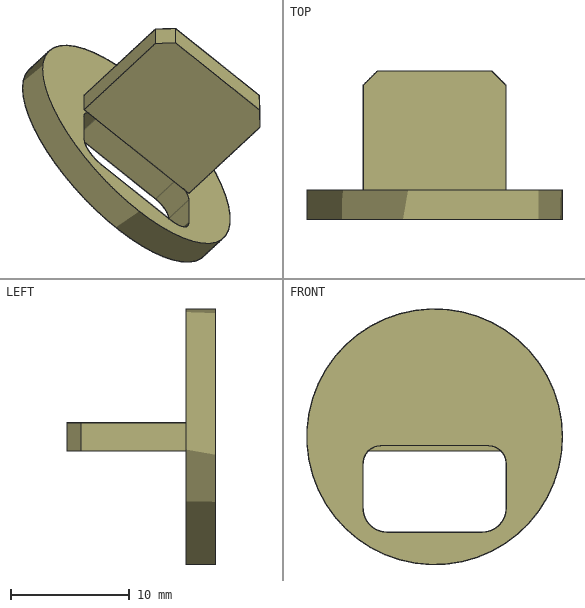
import cadquery as cq

disc_diameter = 21.5
disc_thickness = 2.5

tab_width = 12.0
tab_thickness = 2.4
tab_length = 10.0
tab_chamfer = 1.2

window_width = tab_width
window_top = -0.75
window_bottom = -8.0
window_top_radius = 1.5
window_bottom_radius = 2.0


def make_disc():
    return (
        cq.Workplane("XZ")
        .circle(disc_diameter / 2)
        .extrude(-disc_thickness)
    )


def make_tab():
    """Tab running along +Y, with its two free corners chamfered."""
    return (
        cq.Workplane("XY")
        .box(tab_width, tab_length, tab_thickness, centered=(True, False, True))
        .faces(">Y")
        .edges("|Z")
        .chamfer(tab_chamfer)
        .translate((0, disc_thickness, 0))
    )


def make_window():
    """Solid to subtract from the disc for the rounded window."""
    height = window_top - window_bottom
    return (
        cq.Workplane("XY")
        .box(window_width, disc_thickness, height, centered=(True, False, False))
        .edges("|Y and >Z")
        .fillet(window_top_radius)
        .edges("|Y and <Z")
        .fillet(window_bottom_radius)
        .translate((0, 0, window_bottom))
    )


result = make_disc().cut(make_window()).union(make_tab())